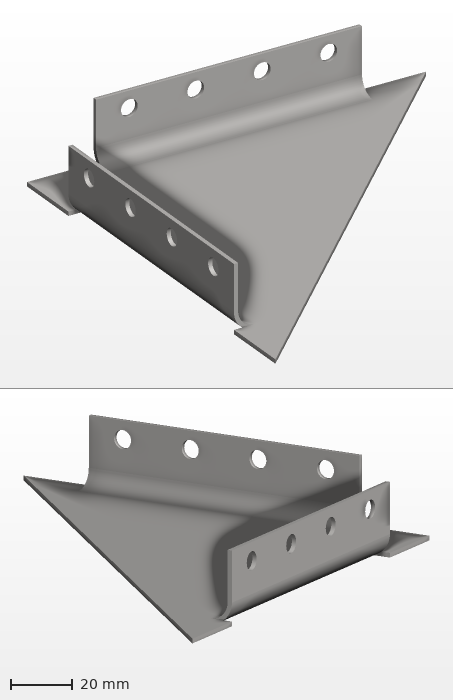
import cadquery as cq

leg_length = 152.5
overall_height = leg_length / 6
sheet_thickness = overall_height / 16
inner_bend_radius = 4 * sheet_thickness
outer_bend_radius = inner_bend_radius + sheet_thickness

flange_length = leg_length * 2 / 3
flange_start = (leg_length - flange_length) / 2

holes_per_flange = 4
hole_diameter = 4 * sheet_thickness
hole_spacing = flange_length / holes_per_flange
hole_height = overall_height * 3 / 4


def base_plate():
    """Right-triangle plate with its square corner at the origin."""
    return (
        cq.Workplane("XY")
        .polyline([(0, 0), (leg_length, 0), (0, leg_length)])
        .close()
        .extrude(sheet_thickness)
    )


def bend_notch():
    """Gap in the plate edge along Y = 0, as deep as the bend and as long as the flange."""
    return cq.Workplane("XY").box(
        flange_length, outer_bend_radius, sheet_thickness, centered=False
    ).translate((flange_start, 0, 0))


def flange():
    """Bend and upright wall along Y = 0, with a row of through holes."""
    wall = (
        cq.Workplane("YZ", origin=(flange_start, 0, 0))
        .moveTo(outer_bend_radius, 0)
        .radiusArc((0, outer_bend_radius), outer_bend_radius)
        .lineTo(0, overall_height)
        .lineTo(sheet_thickness, overall_height)
        .lineTo(sheet_thickness, outer_bend_radius)
        .radiusArc((outer_bend_radius, sheet_thickness), -inner_bend_radius)
        .close()
        .extrude(flange_length)
    )
    holes = (
        cq.Workplane("XZ", origin=(leg_length / 2, 0, hole_height))
        .rarray(hole_spacing, 1.5, holes_per_flange, 1)
        .circle(hole_diameter / 2)
        .extrude(-sheet_thickness)
    )
    return wall.cut(holes)


def on_other_leg(shape):
    """Carry a shape from the X leg to the Y leg, mirrored about the line X = Y."""
    return shape.mirror("YZ").rotate((0, 0, 0), (0, 0, 1), -90)


notch = bend_notch()
x_flange = flange()

plate = base_plate().cut(notch).cut(on_other_leg(notch))
result = plate.union(x_flange).union(on_other_leg(x_flange))